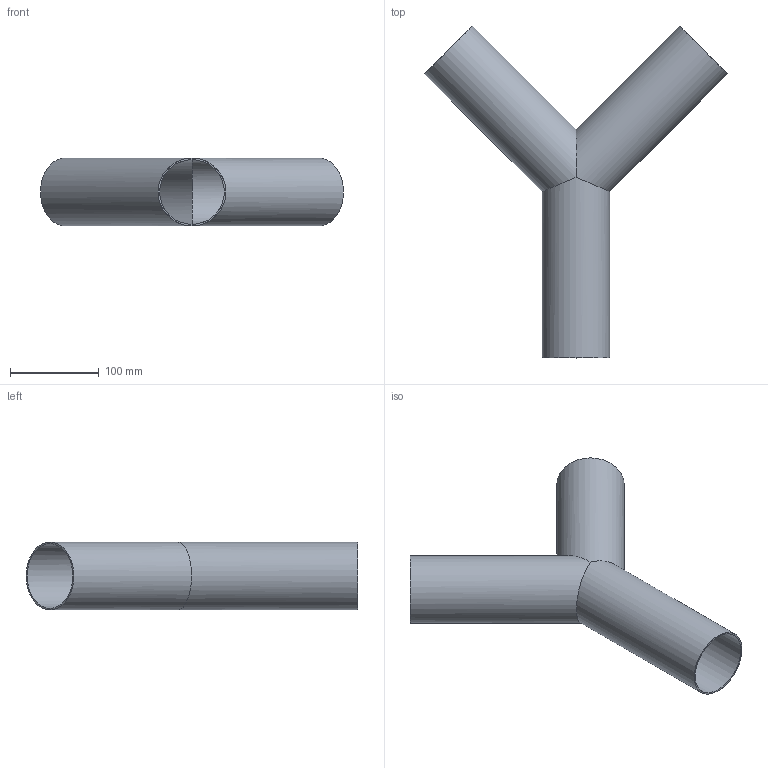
import cadquery as cq
import math

OUTER_DIAMETER = 76.2
BORE_DIAMETER = 72.9
LEG_LENGTH = 203.2
BRANCH_ANGLE = 45.0

STEM_DIRECTION = -90.0
RIGHT_BRANCH_DIRECTION = 90.0 - BRANCH_ANGLE
LEFT_BRANCH_DIRECTION = 90.0 + BRANCH_ANGLE
LEG_DIRECTIONS = (STEM_DIRECTION, RIGHT_BRANCH_DIRECTION, LEFT_BRANCH_DIRECTION)


def leg_cylinder(diameter, direction):
    """Solid cylinder running from the origin out along one leg axis."""
    angle = math.radians(direction)
    axis = cq.Vector(math.cos(angle), math.sin(angle), 0)
    cylinder = cq.Solid.makeCylinder(diameter / 2, LEG_LENGTH, cq.Vector(0, 0, 0), axis)
    return cq.Workplane(obj=cylinder)


def joined_legs(diameter):
    """The three leg cylinders of one diameter, merged into a solid Y."""
    body = cq.Workplane()
    for direction in LEG_DIRECTIONS:
        body = body.add(leg_cylinder(diameter, direction))
    return body.combine()


result = joined_legs(OUTER_DIAMETER).cut(joined_legs(BORE_DIAMETER))